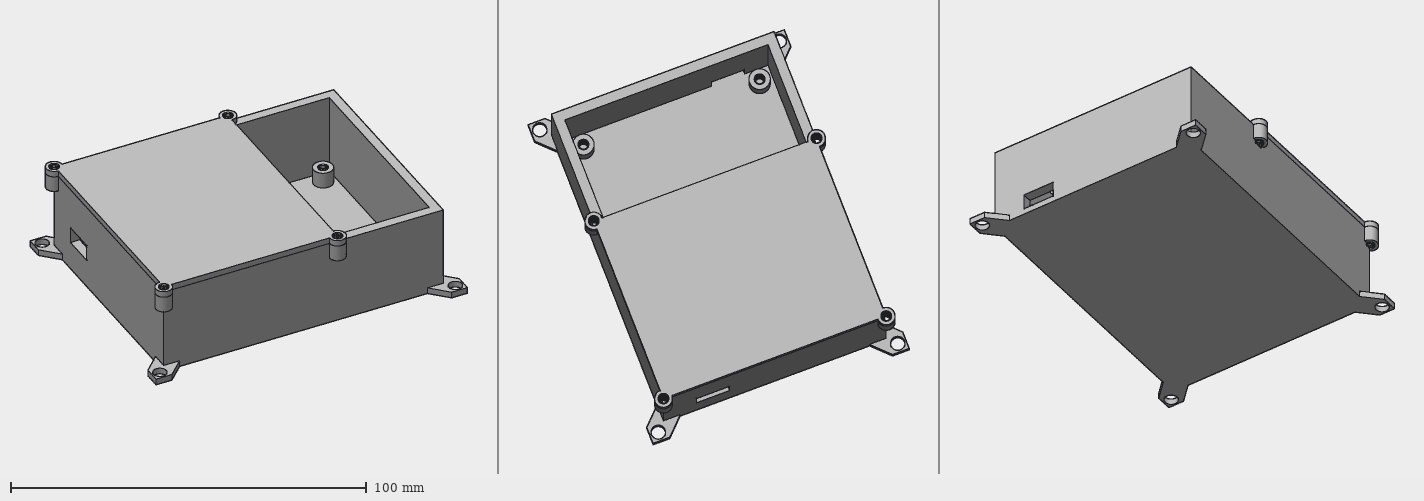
import cadquery as cq

BOX_LENGTH_X = 67.0
BOX_LENGTH_Y = 88.5
BOX_HEIGHT = 27.0
WALL = 3.0
FLOOR = 2.0

FOOT_REACH = 5.0
FOOT_THICKNESS = 2.0
FOOT_HOLE_DIAMETER = 4.0
FOOT_HOLE_OFFSET = FOOT_REACH / 2

WINDOW_WIDTH = 9.9
WINDOW_INSET = 9.9
FRONT_WINDOW_BOTTOM = 9.0
FRONT_WINDOW_HEIGHT = 5.0
REAR_WINDOW_HEIGHT = 5.0

POST_DIAMETER = 6.0
POST_TOP = 7.0
POST_INSET = 7.0

LID_THICKNESS = 1.9
LID_LENGTH_Y = 55.0
BOSS_DIAMETER = 5.0
BOSS_HEIGHT = 5.0

THREAD_MINOR_DIAMETER = 2.6
THREAD_MAJOR_DIAMETER = 3.1
THREAD_PITCH = 0.5
BOSS_THREAD_LENGTH = 7.8

HALF_X = BOX_LENGTH_X / 2
HALF_Y = BOX_LENGTH_Y / 2
LID_TOP = BOX_HEIGHT + LID_THICKNESS
LID_REAR_Y = -HALF_Y + LID_LENGTH_Y
BOSS_POINTS = [(x, y) for x in (-HALF_X, HALF_X) for y in (-HALF_Y, LID_REAR_Y)]
POST_POINTS = [(side * (HALF_X - POST_INSET), HALF_Y - POST_INSET) for side in (-1, 1)]


def cylinders(points, diameter, bottom, top):
    """Upright cylinders on the given axes, from bottom to top."""
    return (
        cq.Workplane("XY", origin=(0, 0, bottom))
        .pushPoints(points)
        .circle(diameter / 2)
        .extrude(top - bottom)
    )


def block(x_min, y_min, z_min, length, width, height):
    """A box placed by its lowest corner."""
    return cq.Workplane("XY", origin=(x_min, y_min, z_min)).box(length, width, height, centered=False)


def cut_threads(body, points, bottom, top):
    """Cut a threaded hole on each axis; each thread turn is a V-shaped ring groove."""
    minor_radius = THREAD_MINOR_DIAMETER / 2
    major_radius = THREAD_MAJOR_DIAMETER / 2
    turns = round((top - bottom) / THREAD_PITCH)
    profile = [(0, top)]
    for turn in range(turns):
        groove_z = top - turn * THREAD_PITCH
        profile.append((major_radius, groove_z))
        profile.append((minor_radius, groove_z - THREAD_PITCH / 2))
    profile += [(minor_radius, bottom), (0, bottom)]

    threaded_core = cq.Workplane("XZ").polyline(profile).close().revolve(360, (0, 0), (0, 1))
    for x, y in points:
        body = body.cut(threaded_core.translate((x, y, 0)))
    return body


def make_foot(side_x, side_y):
    """Pierced mounting foot that wraps one bottom corner of the box."""
    outline = [
        (FOOT_REACH, FOOT_REACH),
        (0, FOOT_REACH),
        (-FOOT_REACH, 0),
        (0, -FOOT_REACH),
        (FOOT_REACH, 0),
    ]
    placed = [(side_x * (HALF_X + x), side_y * (HALF_Y + y)) for x, y in outline]
    hole_point = (side_x * (HALF_X + FOOT_HOLE_OFFSET), side_y * (HALF_Y + FOOT_HOLE_OFFSET))
    foot = cq.Workplane("XY").polyline(placed).close().extrude(FOOT_THICKNESS)
    return foot.cut(cylinders([hole_point], FOOT_HOLE_DIAMETER, 0, FOOT_THICKNESS))


def make_housing():
    """Open-topped box with feet, posts, screw bosses and two cable windows."""
    boss_bottom = BOX_HEIGHT - BOSS_HEIGHT
    housing = block(-HALF_X, -HALF_Y, 0, BOX_LENGTH_X, BOX_LENGTH_Y, BOX_HEIGHT)
    housing = housing.union(cylinders(BOSS_POINTS, BOSS_DIAMETER, boss_bottom, BOX_HEIGHT))
    for side_x in (-1, 1):
        for side_y in (-1, 1):
            housing = housing.union(make_foot(side_x, side_y))

    cavity = block(
        -HALF_X + WALL, -HALF_Y + WALL, FLOOR,
        BOX_LENGTH_X - 2 * WALL, BOX_LENGTH_Y - 2 * WALL, BOX_HEIGHT - FLOOR,
    )
    front_window = block(
        -HALF_X + WINDOW_INSET, -HALF_Y, FRONT_WINDOW_BOTTOM,
        WINDOW_WIDTH, WALL, FRONT_WINDOW_HEIGHT,
    )
    rear_window = block(
        HALF_X - WINDOW_INSET - WINDOW_WIDTH, HALF_Y - WALL, FLOOR,
        WINDOW_WIDTH, WALL, REAR_WINDOW_HEIGHT,
    )
    housing = housing.cut(cavity).cut(front_window).cut(rear_window)

    posts = cylinders(POST_POINTS, POST_DIAMETER, FLOOR, POST_TOP)
    housing = cut_threads(housing.union(posts), POST_POINTS, FLOOR, POST_TOP)
    return cut_threads(housing, BOSS_POINTS, LID_TOP - BOSS_THREAD_LENGTH, LID_TOP)


def make_lid():
    """Flat lid over the front of the box, with a pierced ear at each corner."""
    plate = block(-HALF_X, -HALF_Y, BOX_HEIGHT, BOX_LENGTH_X, LID_LENGTH_Y, LID_THICKNESS)
    ears = cylinders(BOSS_POINTS, BOSS_DIAMETER, BOX_HEIGHT, LID_TOP)
    return cut_threads(plate.union(ears), BOSS_POINTS, LID_TOP - BOSS_THREAD_LENGTH, LID_TOP)


housing = make_housing()
lid = make_lid()

result = cq.Compound.makeCompound([housing.solids().val(), lid.solids().val()])